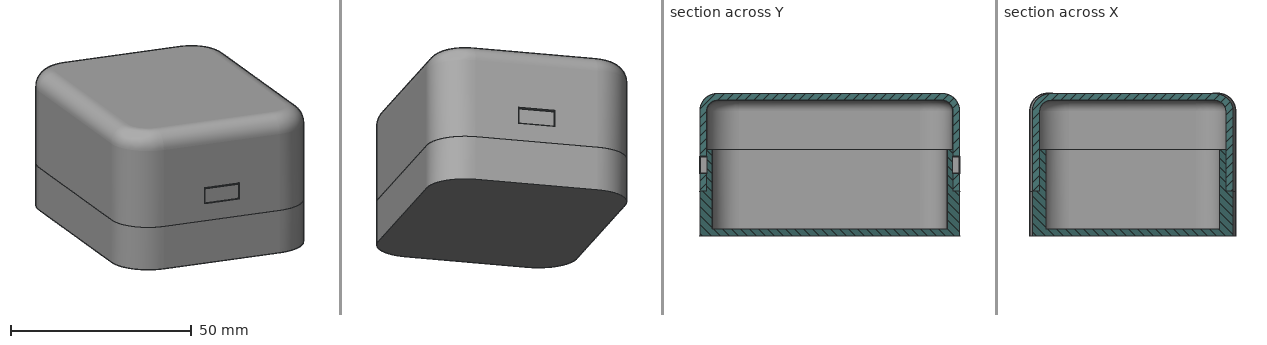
import cadquery as cq

LENGTH = 72.0
WIDTH = 57.0
HEIGHT = 39.5
CORNER_RADIUS = 11.0
TOP_FILLET = 5.0

BASE_HEIGHT = 12.4
WALL = 2.0

LIP_THICKNESS = 1.5
LIP_TOP = 24.0

WINDOW_WIDTH = 10.45
WINDOW_BOTTOM = 17.35
WINDOW_TOP = 22.0
SIDE_GAP = 0.2
TOP_GAP = 0.2
BOTTOM_GAP = 0.15
TAB_RECESS = 0.2
TAB_CHAMFER = 0.2
TAB_WIDTH = WINDOW_WIDTH - 2 * SIDE_GAP
TAB_BOTTOM = WINDOW_BOTTOM + BOTTOM_GAP
TAB_TOP = WINDOW_TOP - TOP_GAP

END_SIDES = (-1, 1)


def rounded_block(inset, bottom, top):
    """Block with the rounded box outline, set in by `inset`, between two heights."""
    return (
        cq.Workplane("XY")
        .workplane(offset=bottom)
        .rect(LENGTH - 2 * inset, WIDTH - 2 * inset)
        .extrude(top - bottom)
        .edges("|Z")
        .fillet(CORNER_RADIUS - inset)
    )


def end_block(side, depth, width, bottom, top):
    """Block reaching out from the inner face of the end wall at -X or +X by `depth`."""
    center_x = side * (LENGTH / 2 - WALL + depth / 2)
    return (
        cq.Workplane("XY")
        .workplane(offset=bottom)
        .center(center_x, 0)
        .rect(depth, width)
        .extrude(top - bottom)
    )


def make_tab(side):
    """Snap tab, set back from the outer face, with its top outer edge chamfered as a lead-in."""
    tab = end_block(side, WALL - TAB_RECESS, TAB_WIDTH, TAB_BOTTOM, TAB_TOP)
    outer_face = ">X" if side > 0 else "<X"
    return tab.faces(outer_face).edges(">Z").chamfer(TAB_CHAMFER)


def make_cover():
    """Upper shell, open below, with a rounded top rim and a snap window in each end."""
    outside = rounded_block(0, BASE_HEIGHT, HEIGHT).faces(">Z").edges().fillet(TOP_FILLET)
    cavity = rounded_block(WALL, BASE_HEIGHT, HEIGHT - WALL).faces(">Z").edges().fillet(TOP_FILLET - WALL)
    cover = outside.cut(cavity)
    for side in END_SIDES:
        cover = cover.cut(end_block(side, WALL, WINDOW_WIDTH, WINDOW_BOTTOM, WINDOW_TOP))
    return cover


def make_base():
    """Lower tray with a lip that fits inside the cover and a snap tab on each end."""
    tray = rounded_block(0, 0, BASE_HEIGHT)
    lip = rounded_block(WALL, BASE_HEIGHT, LIP_TOP)
    cavity = rounded_block(WALL + LIP_THICKNESS, WALL, LIP_TOP)
    base = tray.union(lip).cut(cavity)
    for side in END_SIDES:
        base = base.union(make_tab(side))
    return base


cover = make_cover()
base = make_base()

result = cq.Compound.makeCompound([*cover.solids().vals(), *base.solids().vals()])